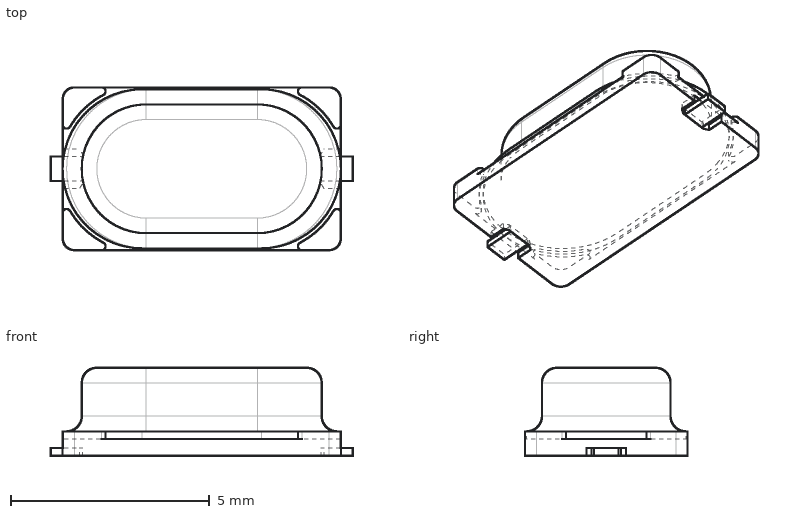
import cadquery as cq

base_length = 7.0
base_width = 4.1
base_height = 0.62
base_corner_radius = 0.3
floor_height = 0.42
pad_clearance = 0.1
pad_tip_radius = 0.1

cap_top = 2.22
flange_length = base_length
flange_width = 4.0
flange_top = base_height
cap_wall_radius = 1.62
cap_end_offset = 1.4
cap_edge_radius = 0.38
cap_foot_radius = flange_width / 2 - cap_wall_radius

overall_length = 7.6
lead_width = 0.62
lead_thickness = 0.2
notch_depth = 0.5
notch_taper_depth = 0.075
notch_width = 1.0
notch_back_width = 0.74


def stadium(length, width, bottom, height):
    """Upright prism with a stadium outline that is long in X."""
    return cq.Workplane("XY").workplane(offset=bottom).slot2D(length, width).extrude(height)


def rounded_plate(bottom, top):
    """Slice of the base outline between two heights."""
    outline = cq.Workplane("XY").workplane(offset=bottom).rect(base_length, base_width)
    return outline.extrude(top - bottom).edges("|Z").fillet(base_corner_radius)


def make_corner_pads():
    """Four raised corners left around the clearance for the cap flange."""
    pads = rounded_plate(floor_height, base_height).cut(
        stadium(
            flange_length + 2 * pad_clearance,
            flange_width + 2 * pad_clearance,
            floor_height,
            base_height - floor_height,
        )
    )
    tip_reach = flange_width / 2 + pad_clearance
    arc_centre = (flange_length - flange_width) / 2
    tip_x = arc_centre + (tip_reach**2 - (base_width / 2) ** 2) ** 0.5
    tip_y = (tip_reach**2 - (base_length / 2 - arc_centre) ** 2) ** 0.5
    mid_height = (floor_height + base_height) / 2
    for x, y in ((tip_x, base_width / 2), (base_length / 2, tip_y)):
        for side_x in (-1, 1):
            for side_y in (-1, 1):
                tip = cq.NearestToPointSelector((side_x * x, side_y * y, mid_height))
                pads = pads.edges("|Z").edges(tip).fillet(pad_tip_radius)
    return pads


def make_notch(side):
    """Open notch in the underside for one lead, tapering at its inner end."""
    mouth = side * base_length / 2
    back = mouth - side * notch_depth
    taper_start = back + side * notch_taper_depth
    outline = [
        (mouth, -notch_width / 2),
        (taper_start, -notch_width / 2),
        (back, -notch_back_width / 2),
        (back, notch_back_width / 2),
        (taper_start, notch_width / 2),
        (mouth, notch_width / 2),
    ]
    return cq.Workplane("XY").polyline(outline).close().extrude(lead_thickness)


def make_base():
    """Plate with corner pads on top and a lead notch at each end."""
    base = rounded_plate(0, floor_height).union(make_corner_pads())
    for side in (-1, 1):
        base = base.cut(make_notch(side))
    return base


def cap_section(plane):
    """Closed half section of the cap, from its centre line out to the foot."""
    foot = cap_wall_radius + cap_foot_radius
    crown = cap_wall_radius - cap_edge_radius
    return (
        plane.moveTo(0, floor_height)
        .lineTo(foot, floor_height)
        .lineTo(foot, flange_top)
        .radiusArc((cap_wall_radius, flange_top + cap_foot_radius), cap_foot_radius)
        .lineTo(cap_wall_radius, cap_top - cap_edge_radius)
        .radiusArc((crown, cap_top), -cap_edge_radius)
        .lineTo(0, cap_top)
        .close()
    )


def make_cap():
    """Solid cap with a stadium outline, seated on the recess floor."""
    middle_start = cq.Workplane("YZ", origin=(-cap_end_offset, 0, 0))
    half = cap_section(middle_start).extrude(2 * cap_end_offset)
    cap = half.union(half.mirror("XZ"))
    for side in (-1, 1):
        end_plane = cq.Workplane("XZ", origin=(side * cap_end_offset, 0, 0))
        cap = cap.union(cap_section(end_plane).revolve(360, (0, 0, 0), (0, 1, 0)))
    flange = stadium(flange_length, flange_width, floor_height, flange_top - floor_height)
    return cap.union(flange)


def make_lead(side):
    """Flat strip from the back of its notch out past the end of the base."""
    inner_end = base_length / 2 - notch_depth
    length = overall_length / 2 - inner_end
    middle = side * (inner_end + length / 2)
    return cq.Workplane("XY").center(middle, 0).rect(length, lead_width).extrude(lead_thickness)


base = make_base()
cap = make_cap()
leads = [make_lead(side) for side in (-1, 1)]

result = cq.Compound.makeCompound([base.val(), cap.val(), *[lead.val() for lead in leads]])